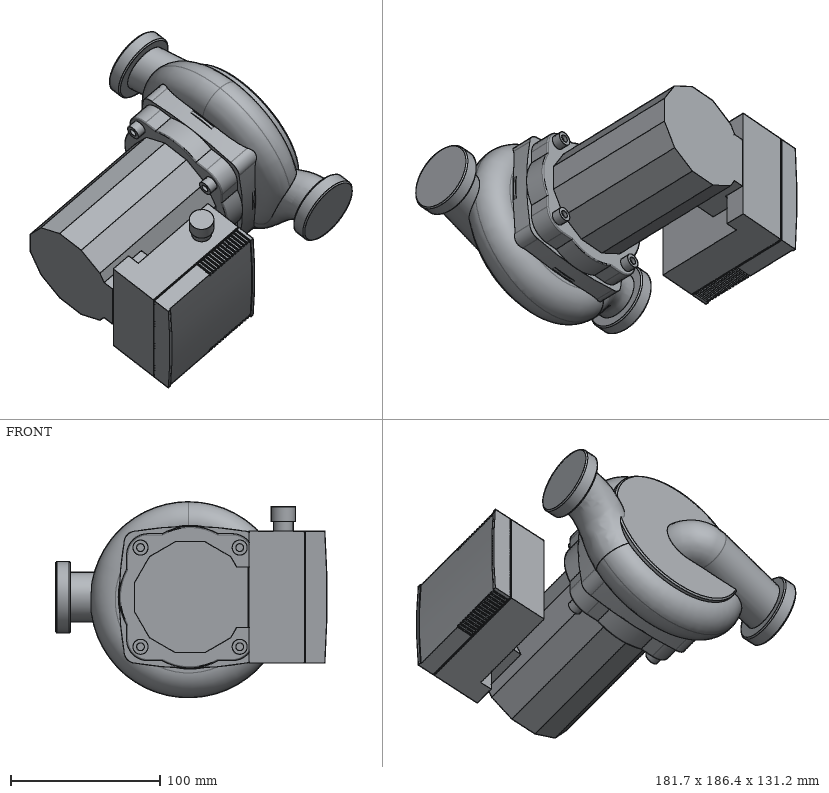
import cadquery as cq
import math


port_face_x = 90.0
port_radius = 24.0
port_thickness = 10.0
port_chamfer = 1.0
pipe_radius = 16.8
pipe_start_x = port_face_x - port_thickness / 2
bend_radius = 13.6
bend_centre_x = -18.6
bend_exit_y = -15.0
outlet_join_angle = 40.0

volute_x, volute_y, volute_z = -1.1, -9.3, -1.7
volute_radius = 65.6
tube_radius = 16.5
ring_radius = volute_radius - tube_radius
back_disc_radius = 53.5
back_disc_x = 0.5
back_disc_y = 10.3
back_disc_chamfer = 1.1

joint_y = -38.5
block_half = 44.2
block_corner_radius = 7.8
block_bulge = 47.4
collar_radius = 48.1
collar_y = -26.7
collar_length = 2.2

flange_thickness = 15.1
flange_half = 42.5
flange_corner_radius = 14.4
flange_lobe_half_length = 18.6
flange_lobe = 47.4
flange_round = 0.7
motor_sides = 12
motor_apothem = 37.1
motor_end_y = -156.0
bracket_half_height = 20.3
bracket_y = -119.9

screw_offset = 33.2
screw_head_radius = 5.0
screw_head_height = 6.5
socket_radius = 2.6
socket_depth = 2.8

gap = 0.7
box_x = 48.5
box_foot_x = 39.5
box_foot_y = -141.1
box_top_y = -73.5
box_half_height = 44.2
box_front_x = 76.5
cover_edge_x = 90.2
cover_crown_x = 91.7
cover_lip = 2.2
vent_count = 15
vent_pitch = 2.7
vent_width = 1.3
vent_depth = 1.5
first_vent_y = -76.5

gland_x = 62.5
gland_y = -94.3
gland_neck_radius = 6.7
gland_neck_height = 6.3
gland_cap_radius = 8.2
gland_cap_height = 10.0

flange_front_y = joint_y - flange_thickness
box_length = box_top_y - motor_end_y


def xz_plane(y, x=0, z=0):
    """Workplane facing -Y, with local x = X and local y = Z."""
    return cq.Workplane("XZ", origin=(x, y, z))


def quarter_turn(point, turns):
    """Rotate a point about the origin by quarter turns, clockwise."""
    x, y = point
    for _ in range(turns):
        x, y = y, -x
    return x, y


def four_sided_outline(plane, half, corner_radius, lobe_half_length, crest):
    """Square with rounded corners and an arched lobe on each side."""
    flat_end = half - corner_radius
    corner_mid = flat_end + corner_radius * math.sqrt(0.5)
    outline = plane.moveTo(-flat_end, half)
    for turns in range(4):
        if lobe_half_length < flat_end:
            outline = outline.lineTo(*quarter_turn((-lobe_half_length, half), turns))
        outline = outline.threePointArc(
            quarter_turn((0, crest), turns), quarter_turn((lobe_half_length, half), turns)
        )
        if lobe_half_length < flat_end:
            outline = outline.lineTo(*quarter_turn((flat_end, half), turns))
        outline = outline.threePointArc(
            quarter_turn((corner_mid, corner_mid), turns), quarter_turn((half, flat_end), turns)
        )
    return outline.close()


def port_disc(x_start):
    disc = cq.Workplane("YZ", origin=(x_start, 0, 0)).circle(port_radius).extrude(port_thickness)
    return disc.edges().chamfer(port_chamfer)


def suction_pipe():
    """Straight rise from the port, then a bend into the back of the volute."""
    reach = pipe_start_x + bend_centre_x
    slope = math.asin(bend_radius / reach)
    mid_angle = (math.pi / 2 + slope) / 2

    def on_bend(angle):
        return (bend_centre_x + bend_radius * math.cos(angle), bend_radius * math.sin(angle))

    path = (
        cq.Workplane("XY")
        .moveTo(-pipe_start_x, 0)
        .lineTo(*on_bend(math.pi / 2 + slope))
        .threePointArc(on_bend(mid_angle), on_bend(0))
        .lineTo(bend_centre_x + bend_radius, bend_exit_y)
    )
    rise = cq.Vector(math.cos(slope), math.sin(slope), 0)
    section = cq.Plane(origin=(-pipe_start_x, 0, 0), xDir=(0, 0, 1), normal=rise.toTuple())
    return cq.Workplane(section).circle(pipe_radius).sweep(path)


def outlet_pipe():
    """Pipe from the discharge port, curving down to run tangent into the volute ring."""
    angle = math.radians(outlet_join_angle)
    start = cq.Vector(pipe_start_x, 0, 0)
    join = cq.Vector(
        volute_x + ring_radius * math.cos(angle), volute_y, volute_z - ring_radius * math.sin(angle)
    )
    inward = cq.Vector(-1, 0, 0)
    along_ring = cq.Vector(-math.sin(angle), 0, -math.cos(angle))
    path = cq.Workplane("XY").add(cq.Edge.makeSpline([start, join], [inward, along_ring])).toPending()
    return cq.Workplane("YZ", origin=start.toTuple()).circle(pipe_radius).sweep(path)


def volute():
    centre = cq.Vector(volute_x, volute_y, volute_z)
    ring = cq.Workplane(cq.Solid.makeTorus(ring_radius, tube_radius, centre, cq.Vector(0, 1, 0)))
    core_back_y = volute_y + tube_radius
    core = xz_plane(core_back_y, volute_x, volute_z).circle(ring_radius).extrude(2 * tube_radius)
    back_disc = xz_plane(back_disc_y, back_disc_x).circle(back_disc_radius).extrude(back_disc_y - volute_y)
    back_disc = back_disc.faces(">Y").edges().chamfer(back_disc_chamfer)
    return ring.union(core).union(back_disc)


def make_housing():
    block_flat = block_half - block_corner_radius
    block = four_sided_outline(
        xz_plane(volute_y), block_half, block_corner_radius, block_flat, block_bulge
    ).extrude(volute_y - joint_y)
    collar = xz_plane(collar_y).circle(collar_radius).extrude(collar_length)
    housing = volute().union(block).union(collar)
    housing = housing.union(suction_pipe()).union(outlet_pipe())
    return housing.union(port_disc(-port_face_x)).union(port_disc(port_face_x - port_thickness))


def make_motor():
    flange = four_sided_outline(
        xz_plane(joint_y), flange_half, flange_corner_radius, flange_lobe_half_length, flange_lobe
    ).extrude(flange_thickness)
    flange = flange.faces("<Y").edges().fillet(flange_round)

    corner_radius = motor_apothem / math.cos(math.pi / motor_sides)
    corners = []
    for side in range(motor_sides):
        angle = (side + 0.5) * 2 * math.pi / motor_sides
        corners.append((corner_radius * math.cos(angle), corner_radius * math.sin(angle)))
    barrel = xz_plane(flange_front_y).polyline(corners).close().extrude(flange_front_y - motor_end_y)

    bracket_profile = [
        (0, bracket_y),
        (box_x, bracket_y),
        (box_x, box_foot_y + gap),
        (box_foot_x - gap, box_foot_y + gap),
        (box_foot_x - gap, motor_end_y),
        (0, motor_end_y),
    ]
    bracket = cq.Workplane("XY").polyline(bracket_profile).close().extrude(bracket_half_height, both=True)
    return flange.union(barrel).union(bracket)


def make_screw(x, z):
    """Socket-head screw seated on the motor flange."""
    head = xz_plane(flange_front_y, x, z).circle(screw_head_radius).extrude(screw_head_height)
    socket_floor_y = flange_front_y - screw_head_height + socket_depth
    socket = xz_plane(socket_floor_y, x, z).circle(socket_radius).extrude(socket_depth)
    return head.cut(socket)


def make_terminal_box():
    """Box with a foot beside the bracket, and the cable gland on its upper side."""
    profile = [
        (box_x, box_top_y),
        (box_front_x, box_top_y),
        (box_front_x, motor_end_y),
        (box_foot_x, motor_end_y),
        (box_foot_x, box_foot_y),
        (box_x, box_foot_y),
    ]
    box = cq.Workplane("XY").polyline(profile).close().extrude(box_half_height, both=True)
    gland_base = cq.Workplane("XY", origin=(gland_x, gland_y, box_half_height))
    neck = gland_base.circle(gland_neck_radius).extrude(gland_neck_height)
    cap = neck.faces(">Z").workplane().circle(gland_cap_radius).extrude(gland_cap_height)
    return box.union(cap)


def crowned_slab(back_x, inset, y_start, length):
    """Slab with a slightly domed +X face, set back by the inset."""
    return (
        xz_plane(y_start)
        .moveTo(back_x, -box_half_height)
        .lineTo(cover_edge_x - inset, -box_half_height)
        .threePointArc((cover_crown_x - inset, 0), (cover_edge_x - inset, box_half_height))
        .lineTo(back_x, box_half_height)
        .close()
        .extrude(length)
    )


def make_cover():
    rim_x = box_front_x + gap
    cover = crowned_slab(rim_x, gap, box_top_y, box_length)
    for lip_y in (box_top_y, motor_end_y + cover_lip):
        cover = cover.union(crowned_slab(rim_x, 0, lip_y, cover_lip))

    spigot = (
        cq.Workplane("YZ", origin=(box_front_x, (box_top_y + motor_end_y) / 2, 0))
        .rect(box_length - 2 * gap, 2 * (box_half_height - gap))
        .extrude(2 * gap)
    )
    cover = cover.union(spigot)

    vent_length = cover_crown_x - rim_x
    vent_x = rim_x + vent_length / 2
    for index in range(vent_count):
        vent_y = first_vent_y - index * vent_pitch
        for side in (1, -1):
            slot = cq.Workplane("XY").box(vent_length, vent_width, 2 * vent_depth)
            cover = cover.cut(slot.translate((vent_x, vent_y, side * box_half_height)))
    return cover


housing = make_housing()
motor = make_motor()
terminal_box = make_terminal_box()
cover = make_cover()
screws = []
for screw_x in (-screw_offset, screw_offset):
    for screw_z in (-screw_offset, screw_offset):
        screws.append(make_screw(screw_x, screw_z).val())

result = cq.Compound.makeCompound(
    [housing.val(), motor.val(), *screws, terminal_box.val(), cover.val()]
)